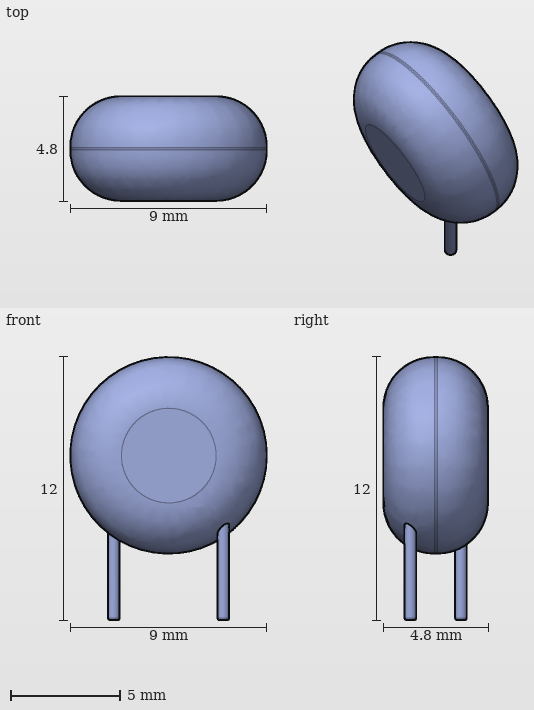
import cadquery as cq

body_diameter = 9.0
body_thickness = 4.8
rim_band_width = 0.13
edge_radius = (body_thickness - rim_band_width) / 2

overall_height = 12.03
lead_diameter = 0.54
lead_pitch_x = 5.0
lead_pitch_y = 2.31
lead_tip_fillet = 0.1

body_center_z = body_diameter / 2
lead_tip_z = body_diameter - overall_height


def make_body():
    """Disc with both rims rounded, leaving a narrow band between them."""
    disc = (
        cq.Workplane("XZ", origin=(0, 0, body_center_z))
        .circle(body_diameter / 2)
        .extrude(body_thickness / 2, both=True)
    )
    return disc.edges("%CIRCLE").fillet(edge_radius)


def make_lead(side):
    """Round lead on the given X side (+1 or -1), ending inside the body."""
    lead_x = side * lead_pitch_x / 2
    lead_y = -side * lead_pitch_y / 2
    return (
        cq.Workplane("XY", origin=(lead_x, lead_y, lead_tip_z))
        .circle(lead_diameter / 2)
        .extrude(body_center_z - lead_tip_z)
        .faces("<Z")
        .edges()
        .fillet(lead_tip_fillet)
    )


result = make_body()
for side in (-1, 1):
    result = result.union(make_lead(side))